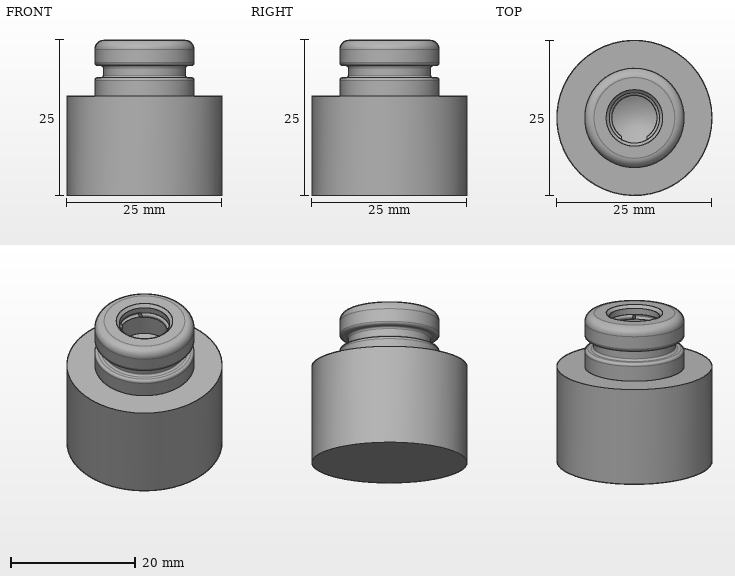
import cadquery as cq
import math

total_height = 25.0
base_radius = 12.5
base_height = 16.0

neck_radius = 8.0
rim_fillet = 1.5
groove_radius = 6.62
groove_bottom_z = 19.0
groove_top_z = 20.9
groove_lip_fillet = 0.5
groove_root_fillet = 0.35

bore_radius = 4.05
bore_depth = 5.75
bore_chamfer = 0.5
dish_sphere_radius = 8.0

wire_radius = 0.4
ring_inner_radius = 3.62
ring_depth = 1.92
ring_gap = 4.12

ring_center_radius = ring_inner_radius + wire_radius
ring_z = total_height - ring_depth


def make_wire_torus():
    """Full, unsplit ring of round wire."""
    torus = cq.Solid.makeTorus(ring_center_radius, wire_radius)
    return cq.Workplane(obj=torus.translate(cq.Vector(0, 0, ring_z)))


def make_outer_shape():
    """Base and grooved neck, turned about Z."""
    outline = (
        cq.Workplane("XZ")
        .moveTo(0, 0)
        .lineTo(base_radius, 0)
        .lineTo(base_radius, base_height)
        .lineTo(neck_radius, base_height)
        .lineTo(neck_radius, groove_bottom_z)
        .lineTo(groove_radius, groove_bottom_z)
        .lineTo(groove_radius, groove_top_z)
        .lineTo(neck_radius, groove_top_z)
        .lineTo(neck_radius, total_height)
        .lineTo(0, total_height)
        .close()
    )
    body = outline.revolve(360, (0, 0, 0), (0, 1, 0))

    def circles_at(radius, heights):
        def matches(edge):
            return (
                edge.geomType() == "CIRCLE"
                and math.isclose(edge.radius(), radius, abs_tol=0.0002)
                and any(math.isclose(edge.Center().z, z, abs_tol=0.0002) for z in heights)
            )

        return body.edges().filter(matches)

    groove_heights = [groove_bottom_z, groove_top_z]
    body = circles_at(neck_radius, [total_height]).fillet(rim_fillet)
    body = circles_at(neck_radius, groove_heights).fillet(groove_lip_fillet)
    body = circles_at(groove_radius, groove_heights).fillet(groove_root_fillet)
    return body


def make_bore():
    """Chamfered bore volume that ends in a shallow spherical dish."""
    floor_z = total_height - bore_depth
    center_z = floor_z + math.sqrt(dish_sphere_radius**2 - bore_radius**2)
    half_angle = math.asin(bore_radius / dish_sphere_radius) / 2
    arc_middle = (
        dish_sphere_radius * math.sin(half_angle),
        center_z - dish_sphere_radius * math.cos(half_angle),
    )
    return (
        cq.Workplane("XZ")
        .moveTo(0, total_height)
        .lineTo(bore_radius + bore_chamfer, total_height)
        .lineTo(bore_radius, total_height - bore_chamfer)
        .lineTo(bore_radius, floor_z)
        .threePointArc(arc_middle, (0, center_z - dish_sphere_radius))
        .close()
        .revolve(360, (0, 0, 0), (0, 1, 0))
    )


def make_housing():
    return make_outer_shape().cut(make_bore()).cut(make_wire_torus())


def make_snap_ring():
    """Wire ring opened on the -Y side by a straight, parallel-sided gap."""
    cut_length = ring_center_radius + 2 * wire_radius
    gap = cq.Workplane("XY").box(ring_gap, cut_length, 4 * wire_radius, centered=(True, False, True))
    gap = gap.translate((0, -cut_length, ring_z))
    return make_wire_torus().cut(gap)


housing = make_housing()
snap_ring = make_snap_ring()
result = cq.Compound.makeCompound([housing.val(), snap_ring.val()])